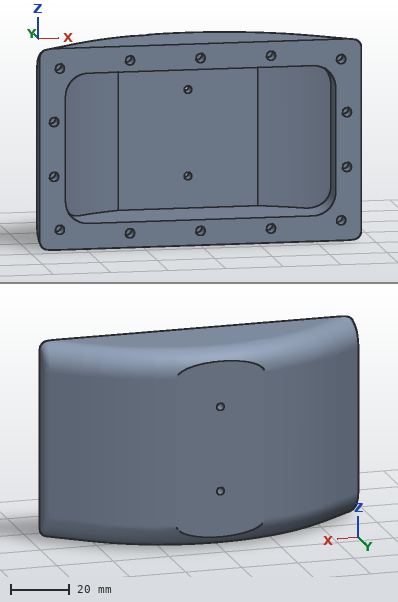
import cadquery as cq
import math

LENGTH = 112.0
DEPTH = 29.0
HEIGHT = 70.0

DOME_RADIUS = 74.5
DOME_APEX = 30.7
SLOPE_ANGLE = 37.8
DOME_FILLET = 9.0
SIDE_FILLET = 3.0

POCKET_LENGTH = 94.1
POCKET_HEIGHT = 52.2
POCKET_CORNER_RADIUS = 8.0
POCKET_DEPTH = 23.0
DOME_WALL = 3.5

RIM_HOLE_DIAMETER = 3.1
RIM_HOLE_DEPTH = 6.0
CORNER_HOLE_X = 49.0
CORNER_HOLE_Z = 28.0
LONG_EDGE_HOLE_PITCH = 24.5
LONG_EDGE_HOLE_Z = 30.0
SHORT_EDGE_HOLE_X = 51.0
SHORT_EDGE_HOLE_Z = 9.5

FLOOR_HOLE_DIAMETER = 2.6
FLOOR_HOLE_Z = 15.0

DOME_CENTER_Y = DOME_APEX - DOME_RADIUS


def block(length, depth, height):
    """Box centred on X and Z that starts at the rim plane and extends toward +Y."""
    return cq.Workplane("XY").box(length, depth, height, centered=(True, False, True))


def make_body():
    """Domed block with rounded ends, a flat back and rounded side edges."""
    slope = math.radians(SLOPE_ANGLE)
    tangent_x = DOME_RADIUS * math.sin(slope)
    tangent_y = DOME_CENTER_Y + DOME_RADIUS * math.cos(slope)
    foot_x = LENGTH
    foot_y = tangent_y - (foot_x - tangent_x) * math.tan(slope)

    dome = (
        cq.Workplane("XY", origin=(0, 0, -HEIGHT / 2))
        .moveTo(-foot_x, foot_y)
        .lineTo(-tangent_x, tangent_y)
        .threePointArc((0, DOME_APEX), (tangent_x, tangent_y))
        .lineTo(foot_x, foot_y)
        .close()
        .extrude(HEIGHT)
    )
    dome = dome.faces("|Z").edges("not <Y").fillet(DOME_FILLET)

    body = dome.intersect(block(LENGTH, DEPTH, HEIGHT))
    side_edges = body.faces("<X or >X").edges("not <Y")
    return body.newObject(side_edges.vals()).fillet(SIDE_FILLET)


def make_pocket():
    """Rounded rectangular pocket bounded by the flat floor and by the inside of the dome."""
    opening = block(POCKET_LENGTH, POCKET_DEPTH, POCKET_HEIGHT).edges("|Y").fillet(POCKET_CORNER_RADIUS)
    dome_inside = (
        cq.Workplane("XY", origin=(0, DOME_CENTER_Y, -HEIGHT / 2))
        .circle(DOME_RADIUS - DOME_WALL)
        .extrude(HEIGHT)
    )
    return opening.intersect(dome_inside)


def make_holes(positions, diameter, depth):
    """Round holes at (x, z) positions, drilled from the rim plane toward +Y."""
    return (
        cq.Workplane("XZ")
        .pushPoints(positions)
        .circle(diameter / 2)
        .extrude(-depth)
    )


rim_holes = []
for side in (-1, 1):
    for end in (-1, 1):
        rim_holes.append((side * CORNER_HOLE_X, end * CORNER_HOLE_Z))
        rim_holes.append((side * SHORT_EDGE_HOLE_X, end * SHORT_EDGE_HOLE_Z))
for end in (-1, 1):
    for step in (-1, 0, 1):
        rim_holes.append((step * LONG_EDGE_HOLE_PITCH, end * LONG_EDGE_HOLE_Z))

floor_holes = [(0, -FLOOR_HOLE_Z), (0, FLOOR_HOLE_Z)]

result = (
    make_body()
    .cut(make_pocket())
    .cut(make_holes(rim_holes, RIM_HOLE_DIAMETER, RIM_HOLE_DEPTH))
    .cut(make_holes(floor_holes, FLOOR_HOLE_DIAMETER, DEPTH))
)